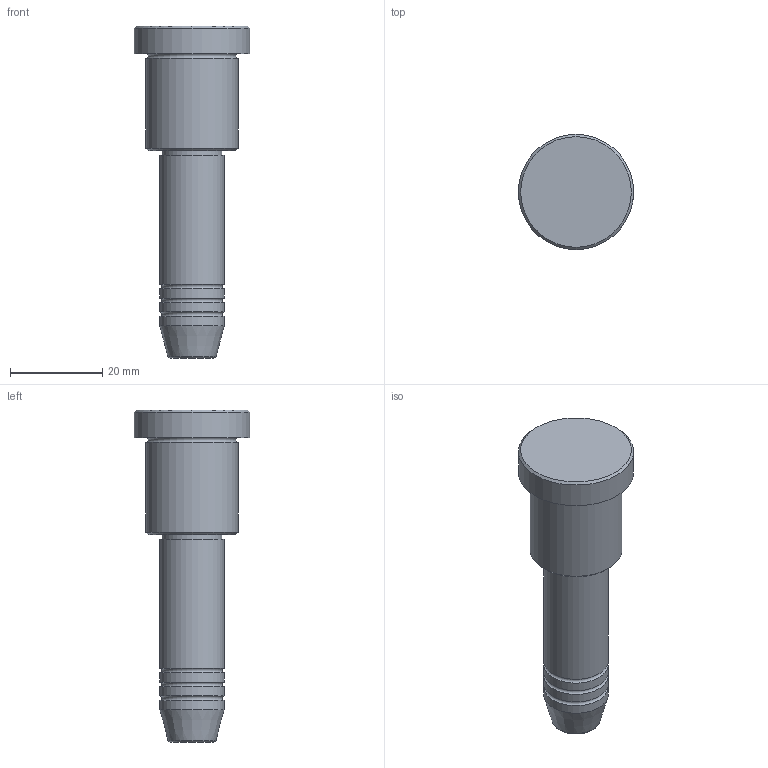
import cadquery as cq
import math

total_length = 72.0
head_height = 6.0
body_length = 21.0
neck_height = 1.0
nose_length = 7.0

head_diameter = 25.0
body_diameter = 20.0
pin_diameter = 14.0
neck_diameter = 13.0

nose_half_angle = math.radians(15)
head_chamfer = 0.5
body_chamfer = 0.5
tip_fillet = 0.5

head_groove_radius = 0.5
pin_groove_radius = 0.5
pin_groove_count = 3
pin_groove_pitch = 3.0
nose_to_first_groove = 2.5

head_bottom_z = total_length - head_height
body_bottom_z = head_bottom_z - body_length
pin_top_z = body_bottom_z - neck_height
body_radius = body_diameter / 2
pin_radius = pin_diameter / 2
tip_radius = pin_radius - nose_length * math.tan(nose_half_angle)


def cylinder(diameter, bottom_z, top_z):
    """Solid cylinder on the Z axis between two heights."""
    base = cq.Workplane("XY").workplane(offset=bottom_z)
    return base.circle(diameter / 2).extrude(top_z - bottom_z)


def groove_cutter(surface_radius, center_z, groove_radius):
    """Ring of circular section centred on a cylindrical surface around the Z axis."""
    ring = cq.Solid.makeTorus(surface_radius, groove_radius, cq.Vector(0, 0, center_z))
    return cq.Workplane(obj=ring)


def make_head():
    head = cylinder(head_diameter, head_bottom_z, total_length)
    return head.faces(">Z").edges().chamfer(head_chamfer)


def make_body():
    """Body with a chamfered lower shoulder and a groove touching the head underside."""
    body = cylinder(body_diameter, body_bottom_z, head_bottom_z)
    body = body.faces("<Z").edges().chamfer(body_chamfer)
    groove_z = head_bottom_z - head_groove_radius
    return body.cut(groove_cutter(body_radius, groove_z, head_groove_radius))


def make_neck():
    return cylinder(neck_diameter, pin_top_z, body_bottom_z)


def make_pin():
    """Straight pin with evenly spaced grooves above the nose."""
    pin = cylinder(pin_diameter, nose_length, pin_top_z)
    for index in range(pin_groove_count):
        groove_z = nose_length + nose_to_first_groove + index * pin_groove_pitch
        pin = pin.cut(groove_cutter(pin_radius, groove_z, pin_groove_radius))
    return pin


def make_nose():
    """Cone narrowing to a flat tip with a rounded edge."""
    half_profile = [(0, 0), (tip_radius, 0), (pin_radius, nose_length), (0, nose_length)]
    nose = cq.Workplane("XZ").polyline(half_profile).close().revolve(360, (0, 0), (0, 1))
    return nose.faces("<Z").edges().fillet(tip_fillet)


result = make_head().union(make_body()).union(make_neck()).union(make_pin()).union(make_nose())